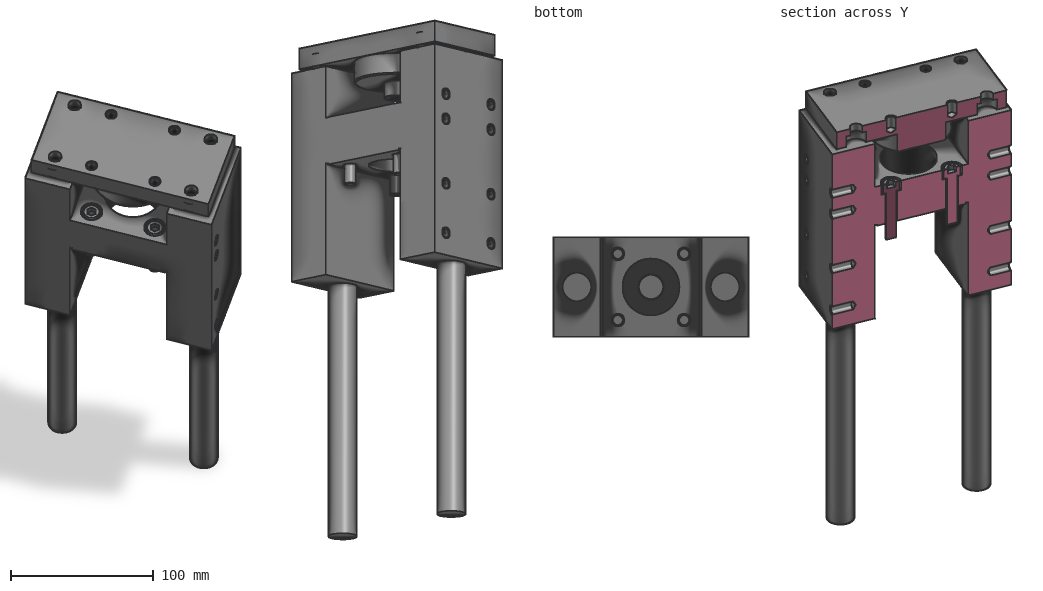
import cadquery as cq
import math


housing_length = 137.0
housing_width = 70.0
housing_height = 150.0
arm_thickness = 33.0
upper_opening_depth = 37.0
web_thickness = 33.0
pad_height = 1.0
pad_side_gap = 1.5
web_bore_diameter = 40.0

rod_diameter = 20.0
rod_spacing = 104.0
rod_projection = 180.0
plate_gap = 3.0
plate_length = 130.0
plate_width = 62.0
plate_thickness = 15.0

disc_diameter = 60.0
disc_height = 15.0
disc_chamfer = 1.0
stub_diameter = 18.0
stub_length = 11.0
stub_chamfer = 0.5

bolt_spacing = 46.5
plate_hole_spacing = 100.0
plate_hole_diameter = 9.0
plate_counterbore_depth = 9.0
thread_diameter = 8.0
tap_drill_diameter = 6.65
plate_tap_depth = 10.0
side_tap_depth = 16.0
drill_tip_angle = 118.0
side_hole_drops = (34.0, 52.0, 98.5, 134.0)

screw_diameter = 8.0
screw_length = 40.0
screw_chamfer = 0.5
head_diameter = 13.0
head_height = 8.0
head_chamfer = 1.0
socket_across_flats = 6.0
socket_depth = 4.0
socket_turn = 45.0
screw_clearance_diameter = 9.0
counterbore_diameter = 15.0

housing_bottom = rod_projection
housing_top = housing_bottom + housing_height
web_top = housing_top - upper_opening_depth
web_bottom = web_top - web_thickness
pad_bottom = web_bottom - pad_height
seat_level = web_top - head_height
plate_bottom = housing_top + plate_gap
plate_top = plate_bottom + plate_thickness

opening_length = housing_length - 2 * arm_thickness
pad_length = opening_length - 2 * pad_side_gap
rod_positions = [(side * rod_spacing / 2, 0) for side in (-1, 1)]
bolt_positions = [
    (x_side * bolt_spacing / 2, y_side * bolt_spacing / 2)
    for x_side in (-1, 1)
    for y_side in (-1, 1)
]
plate_hole_positions = [
    (x_side * plate_hole_spacing / 2, y_side * bolt_spacing / 2)
    for x_side in (-1, 1)
    for y_side in (-1, 1)
]


def box_between(length, width, bottom, top):
    """A box centred in X and Y, standing from bottom to top."""
    return cq.Workplane("XY", origin=(0, 0, bottom)).rect(length, width).extrude(top - bottom)


def cylinders(positions, diameter, bottom, top):
    """Upright cylinders at the given positions, standing from bottom to top."""
    base = cq.Workplane("XY", origin=(0, 0, bottom)).pushPoints(positions)
    return base.circle(diameter / 2).extrude(top - bottom)


def tapped_hole(mouth, direction, depth):
    """Cutter for a blind tapped hole: chamfered mouth, straight bore, drill tip."""
    thread_radius = thread_diameter / 2
    drill_radius = tap_drill_diameter / 2
    mouth_depth = thread_radius - drill_radius
    tip_depth = depth + drill_radius / math.tan(math.radians(drill_tip_angle / 2))
    profile = (
        cq.Workplane("XY")
        .moveTo(0, 0)
        .lineTo(thread_radius, 0)
        .lineTo(drill_radius, mouth_depth)
        .lineTo(drill_radius, depth)
        .lineTo(0, tip_depth)
        .close()
    )
    cutter = profile.revolve(360, (0, 0), (0, 1)).val()
    plane = cq.Plane(origin=mouth, xDir=(0, 1, 0), normal=direction)
    return cutter.rotate(cq.Vector(0, 0, 0), cq.Vector(1, 0, 0), 90).moved(cq.Location(plane))


def make_housing():
    """H-shaped block with rod bores, a central bore, screw holes and side tapped holes."""
    body = box_between(housing_length, housing_width, housing_bottom, housing_top)
    body = body.cut(box_between(opening_length, housing_width, web_top, housing_top))
    body = body.cut(box_between(opening_length, housing_width, housing_bottom, web_bottom))
    body = body.union(box_between(pad_length, housing_width, pad_bottom, web_bottom))

    body = body.cut(cylinders(rod_positions, rod_diameter, housing_bottom, housing_top))
    body = body.cut(cylinders([(0, 0)], web_bore_diameter, pad_bottom, web_top))
    body = body.cut(cylinders(bolt_positions, screw_clearance_diameter, pad_bottom, web_top))
    body = body.cut(cylinders(bolt_positions, counterbore_diameter, seat_level, web_top))

    for x_side in (-1, 1):
        for y_side in (-1, 1):
            for drop in side_hole_drops:
                mouth = (x_side * housing_length / 2, y_side * bolt_spacing / 2, housing_top - drop)
                body = body.cut(cq.Workplane(tapped_hole(mouth, (-x_side, 0, 0), side_tap_depth)))
    return body


def make_yoke():
    """Plate in one piece with its guide rods, coupling disc and stub."""
    disc_bottom = plate_bottom - disc_height
    stub_bottom = disc_bottom - stub_length
    rods = cylinders(rod_positions, rod_diameter, 0, plate_bottom)
    disc = cylinders([(0, 0)], disc_diameter, disc_bottom, plate_bottom).faces("<Z").chamfer(disc_chamfer)
    stub = cylinders([(0, 0)], stub_diameter, stub_bottom, disc_bottom).faces("<Z").chamfer(stub_chamfer)

    body = box_between(plate_length, plate_width, plate_bottom, plate_top)
    body = body.union(rods).union(disc).union(stub)
    body = body.cut(cylinders(plate_hole_positions, plate_hole_diameter, plate_bottom, plate_top))
    plate_seat = plate_bottom + plate_counterbore_depth
    body = body.cut(cylinders(plate_hole_positions, counterbore_diameter, plate_bottom, plate_seat))
    for x, y in bolt_positions:
        body = body.cut(cq.Workplane(tapped_hole((x, y, plate_top), (0, 0, -1), plate_tap_depth)))
    return body


def make_screw(position):
    """Socket head screw hanging from the counterbore seat."""
    shank = cylinders([position], screw_diameter, seat_level - screw_length, seat_level)
    shank = shank.faces("<Z").chamfer(screw_chamfer)
    head = cylinders([position], head_diameter, seat_level, web_top).faces(">Z").chamfer(head_chamfer)
    socket_corner_diameter = socket_across_flats / math.cos(math.pi / 6)
    socket = (
        cq.Workplane("XY", origin=(*position, web_top))
        .transformed(rotate=(0, 0, socket_turn))
        .polygon(6, socket_corner_diameter)
        .extrude(-socket_depth)
    )
    return head.union(shank).cut(socket)


housing = make_housing()
yoke = make_yoke()
screws = [make_screw(position) for position in bolt_positions]

result = cq.Compound.makeCompound(
    [body.solids().val() for body in (housing, yoke, *screws)]
)